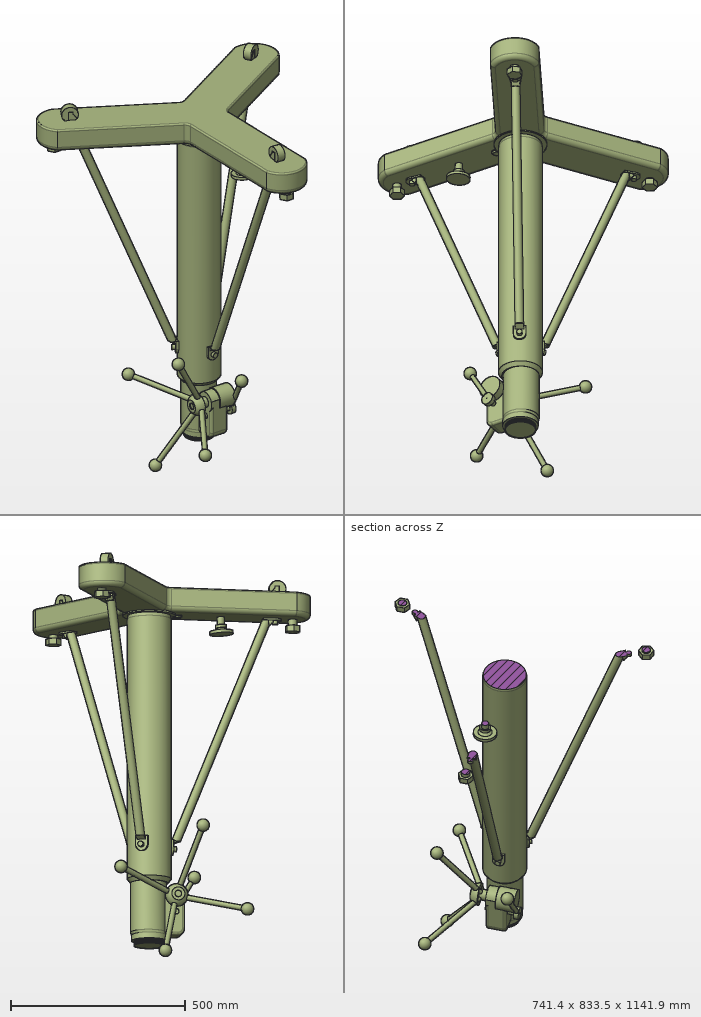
import cadquery as cq
import math

ARM_ANGLES = (0, 120, 240)

arm_half_width = 69.85
arm_end_centre = 397.0
arm_end_radius = 72.95
crotch_fillet = 19.05
plate_thickness = 69.2
top_edge_fillet = 4.76
bottom_edge_fillet = 14.29

caster_reach = 374.5
wheel_diameter = 48.4
wheel_width = 24.0
wheel_centre_height = 17.9
fork_top = 8.0
fork_outer_edge = 4.5
fork_inner_edge = -8.0
fork_slant_top = 3.0
fork_slant_foot = -30.0
fork_recess = 2.0
caster_swivels = (-4, -3, 0)

screw_reach = 419.5
screw_shank_diameter = 25.4
screw_head_flats = 38.1
screw_head_height = 18.0
screw_head_tops = (-87.2, -80.2, -77.2)
screw_head_turns = (30, 45, 30)

foot_reach = 209.5
foot_stem_diameter = 21.34
foot_nut_diameter = 31.75
foot_cone_diameter = 41.0
foot_pad_diameter = 68.0
foot_top = -92.0
foot_nut_height = 9.0
foot_cone_height = 9.0
foot_pad_height = 9.0
foot_tilt = 4.0

flange_radius = 76.2
flange_thickness = 4.0
neck_radius = 62.0
neck_bottom = -83.0
column_radius = 63.5
column_bottom = -842.7
plug_reach = 81.5
plug_diameter = 28.0
plug_height = 6.8
plug_chamfer = 4.0
collar_radius = 54.0
sleeve_radius = 52.0
sleeve_offset = -2.4
sleeve_top = -854.5
sleeve_bottom = -999.0
ring_radius = 51.2
ring_top = -1007.0
ring_bottom = -1023.5
spigot_radius = 44.45
spigot_bottom = -1038.0
spigot_groove_count = 4
spigot_groove_pitch = 3.6
spigot_groove_width = 1.8
spigot_groove_depth = 1.5

strut_diameter = 25.4
strut_top_reach = 344.5
strut_bottom_reach = 78.0
strut_tab_radius = 18.0
strut_tab_thickness = 5.0
strut_cut_overlap = 3.0
top_bolt_reach = 368.0
bottom_bolt_z = -753.0
strut_bottom_z = -730.0
top_gusset_reach = 361.0
top_gusset_edge_z = -80.0
top_gusset_foot = (349.0, -92.0)
bottom_gusset_reach = 86.0
bottom_gusset_z = -738.0
bolt_head_diameter = 15.88
bolt_head_height = 10.5

pinion_x = 69.9
pinion_z = -896.6
housing_end_x = 99.0
housing_half_width = 30.0
housing_bottom = -1008.0
housing_corner_radius = 20.0
housing_edge_fillet = 7.9
housing_top_radius = 31.0
bearing_radius = 34.0
bearing_end_y = 54.5
shaft_radius = 16.0

hub_back_y = -54.0
hub_bulge_y = -69.0
hub_face_y = -79.4
hub_back_radius = 33.0
hub_bulge_radius = 29.5
hub_face_radius = 19.05
hub_recess_diameter = 19.05
hub_recess_depth = 3.0
handle_count = 4
handle_first_angle = 73.4
handle_apex_y = -45.0
handle_ball_y = -167.4
handle_radial_length = 193.0
handle_diameter = 15.88
ball_diameter = 36.5

clamp_x = 72.7
clamp_z = -940.0
clamp_bolt_diameter = 15.88
clamp_bolt_y = -36.0
lever_diameter = 14.29
clamp_knob_diameter = 36.5
clamp_knob_end_y = 65.0
clamp_knob_length = 14.0
lever_ball = (141.0, 47.0, -824.0)


def polar(radius, degrees):
    return (radius * math.cos(math.radians(degrees)), radius * math.sin(math.radians(degrees)))


def turn_about_z(shape, degrees):
    return shape.rotate((0, 0, 0), (0, 0, 1), degrees)


def disc(radius, top, height, x=0.0):
    return cq.Workplane("XY", origin=(x, 0, top - height)).circle(radius).extrude(height)


def disc_along_y(radius, x, z, y_start, y_end):
    return cq.Workplane("XZ", origin=(x, y_start, z)).circle(radius).extrude(y_start - y_end)


def rod(start, end, diameter):
    axis = cq.Vector(*end) - cq.Vector(*start)
    return cq.Workplane(cq.Solid.makeCylinder(diameter / 2, axis.Length, cq.Vector(*start), axis))


def ball_ended_rod(start, ball_centre, diameter):
    along = cq.Vector(*ball_centre) - cq.Vector(*start)
    ball = cq.Solid.makeSphere(ball_diameter / 2, cq.Vector(0, 0, 0), along, -90, 90, 360)
    ball = cq.Workplane(ball).translate(ball_centre)
    return rod(start, ball_centre, diameter).union(ball)


def make_plate():
    arm_straight_end = arm_end_centre + math.sqrt(arm_end_radius**2 - arm_half_width**2)
    arm_corner_radius = math.hypot(arm_straight_end, arm_half_width)
    arm_corner_angle = math.degrees(math.atan2(arm_half_width, arm_straight_end))
    crotch_start = arm_half_width / math.tan(math.radians(60)) + crotch_fillet * math.tan(math.radians(30))
    crotch_start_radius = math.hypot(crotch_start, arm_half_width)
    crotch_start_angle = math.degrees(math.atan2(arm_half_width, crotch_start))
    crotch_middle = (arm_half_width + crotch_fillet) / math.sin(math.radians(60)) - crotch_fillet

    outline = cq.Workplane("XY").moveTo(*polar(crotch_start_radius, -crotch_start_angle))
    for angle in ARM_ANGLES:
        outline = outline.lineTo(*polar(arm_corner_radius, angle - arm_corner_angle))
        outline = outline.threePointArc(
            polar(arm_end_centre + arm_end_radius, angle),
            polar(arm_corner_radius, angle + arm_corner_angle),
        )
        outline = outline.lineTo(*polar(crotch_start_radius, angle + crotch_start_angle))
        outline = outline.threePointArc(
            polar(crotch_middle, angle + 60),
            polar(crotch_start_radius, angle + 120 - crotch_start_angle),
        )
    plate = outline.close().extrude(-plate_thickness)
    plate = plate.faces("<Z").edges().fillet(bottom_edge_fillet)
    return plate.faces(">Z").edges().fillet(top_edge_fillet)


def make_caster():
    half_width = wheel_width / 2
    wheel = disc_along_y(wheel_diameter / 2, 0, wheel_centre_height, half_width, -half_width)
    fork_outline = [
        (fork_inner_edge, fork_top),
        (fork_outer_edge, fork_top),
        (fork_outer_edge, -wheel_diameter / 2),
        (fork_slant_foot, -wheel_diameter / 2),
        (fork_inner_edge, fork_slant_top),
    ]
    fork = (
        cq.Workplane("XZ", origin=(0, half_width, wheel_centre_height))
        .polyline(fork_outline)
        .close()
        .extrude(fork_recess)
    )
    opposite_fork = fork.translate((0, fork_recess - wheel_width, 0))
    return wheel.cut(fork).cut(opposite_fork)


def make_leveling_screw(head_top, head_turn):
    shank_top = -plate_thickness / 2
    shank = disc(screw_shank_diameter / 2, shank_top, shank_top - head_top)
    head_corners = screw_head_flats / math.cos(math.radians(30))
    head = cq.Workplane("XY", origin=(0, 0, head_top)).polygon(6, head_corners).extrude(-screw_head_height)
    return shank.union(turn_about_z(head, head_turn))


def make_foot():
    stem_top = -plate_thickness / 2
    cone_top = foot_top - foot_nut_height
    pad_top = cone_top - foot_cone_height
    stem = disc(foot_stem_diameter / 2, stem_top, stem_top - cone_top)
    pad = disc(foot_nut_diameter / 2, foot_top, foot_nut_height)
    cone = (
        cq.Workplane("XY", origin=(0, 0, cone_top))
        .circle(foot_stem_diameter / 2)
        .workplane(offset=-foot_cone_height)
        .circle(foot_cone_diameter / 2)
        .loft()
    )
    pad = pad.union(cone).union(disc(foot_pad_diameter / 2, pad_top, foot_pad_height))
    pad = pad.rotate((0, 0, foot_top), (0, 1, foot_top), -foot_tilt)
    return stem.union(pad).translate((foot_reach, 0, 0))


def make_column():
    flange_bottom = -plate_thickness - flange_thickness
    profile = [
        (0, -plate_thickness / 2),
        (flange_radius, -plate_thickness / 2),
        (flange_radius, flange_bottom),
        (neck_radius, flange_bottom),
        (column_radius, neck_bottom),
        (column_radius, column_bottom),
        (collar_radius, sleeve_top),
        (spigot_radius, sleeve_top),
        (spigot_radius, ring_top),
        (ring_radius, ring_top),
        (ring_radius, ring_bottom),
        (spigot_radius, ring_bottom),
        (spigot_radius, spigot_bottom),
        (0, spigot_bottom),
    ]
    column = cq.Workplane("XZ").polyline(profile).close().revolve(360, (0, 0), (0, 1))
    sleeve = disc(sleeve_radius, sleeve_top, sleeve_top - sleeve_bottom, sleeve_offset)
    taper = (
        cq.Workplane("XY", origin=(sleeve_offset, 0, sleeve_bottom))
        .circle(sleeve_radius)
        .workplane(offset=ring_top - sleeve_bottom)
        .center(-sleeve_offset, 0)
        .circle(ring_radius)
        .loft()
    )
    column = column.union(sleeve).union(taper)
    for groove_index in range(spigot_groove_count):
        groove_top = ring_bottom - spigot_groove_pitch * groove_index
        groove = (
            cq.Workplane("XY", origin=(0, 0, groove_top - spigot_groove_width))
            .circle(spigot_radius)
            .circle(spigot_radius - spigot_groove_depth)
            .extrude(spigot_groove_width)
        )
        column = column.cut(groove)
    return column


def make_plug():
    plug = disc(plug_diameter / 2, -plate_thickness, plug_height, plug_reach)
    return plug.faces("<Z").edges().chamfer(plug_chamfer)


def make_strut():
    top_z = -plate_thickness - strut_tab_thickness + strut_cut_overlap
    run = strut_top_reach - strut_bottom_reach
    rise = top_z - strut_bottom_z
    extra = strut_diameter / rise
    start = (strut_bottom_reach - run * extra, 0, strut_bottom_z - rise * extra)
    end = (strut_top_reach + run * extra, 0, top_z + rise * extra)
    trim = (
        cq.Workplane("XY", origin=(0, 0, strut_bottom_z))
        .rect(4 * strut_top_reach, 4 * strut_diameter)
        .extrude(rise)
    )
    strut = rod(start, end, strut_diameter).intersect(trim)

    top_tab_length = top_bolt_reach - strut_top_reach + strut_diameter / 2
    top_tab = (
        cq.Workplane("XY", origin=(top_bolt_reach, 0, -plate_thickness))
        .moveTo(0, -strut_tab_radius)
        .threePointArc((strut_tab_radius, 0), (0, strut_tab_radius))
        .lineTo(-top_tab_length, strut_diameter / 2)
        .lineTo(-top_tab_length, -strut_diameter / 2)
        .close()
        .extrude(-strut_tab_thickness)
    )
    top_bolt = disc(bolt_head_diameter / 2, -plate_thickness, strut_tab_thickness + bolt_head_height, top_bolt_reach)

    bottom_tab_height = strut_bottom_z - bottom_bolt_z + strut_cut_overlap
    tab_inset = column_radius / 2
    bottom_tab = (
        cq.Workplane("YZ", origin=(tab_inset, 0, bottom_bolt_z))
        .moveTo(-strut_tab_radius, 0)
        .threePointArc((0, -strut_tab_radius), (strut_tab_radius, 0))
        .lineTo(strut_tab_radius, bottom_tab_height)
        .lineTo(-strut_tab_radius, bottom_tab_height)
        .close()
        .extrude(column_radius + strut_tab_thickness - tab_inset)
    )
    bottom_bolt = (
        cq.Workplane("YZ", origin=(column_radius, 0, bottom_bolt_z))
        .circle(bolt_head_diameter / 2)
        .extrude(strut_tab_thickness + bolt_head_height)
    )
    top_gusset_outline = [
        (strut_top_reach, -plate_thickness),
        (top_gusset_reach, -plate_thickness),
        (top_gusset_reach, top_gusset_edge_z),
        top_gusset_foot,
    ]
    bottom_gusset_outline = [
        (tab_inset, strut_bottom_z),
        (bottom_gusset_reach, strut_bottom_z),
        (column_radius + strut_tab_thickness, bottom_gusset_z),
        (tab_inset, bottom_gusset_z),
    ]
    for outline in (top_gusset_outline, bottom_gusset_outline):
        gusset = cq.Workplane("XZ").polyline(outline).close().extrude(strut_diameter / 2, both=True)
        strut = strut.union(gusset)
    return strut.union(top_tab).union(top_bolt).union(bottom_tab).union(bottom_bolt)


def make_housing():
    block = (
        cq.Workplane("XY", origin=(0, 0, housing_bottom))
        .rect(housing_end_x, 2 * housing_half_width)
        .extrude(pinion_z - housing_bottom)
        .translate((housing_end_x / 2, 0, 0))
    )
    block = block.edges(">X and <Z").fillet(housing_corner_radius)
    block = block.faces(">Y or <Y").edges("not(<X or >Z)").fillet(housing_edge_fillet)
    top = disc_along_y(housing_top_radius, pinion_x, pinion_z, housing_half_width, -housing_half_width)
    within_end = cq.Workplane("XY").box(2 * housing_end_x, 2 * housing_end_x, -4 * pinion_z)
    bearing = disc_along_y(bearing_radius, pinion_x, pinion_z, bearing_end_y, 0)
    shaft = disc_along_y(shaft_radius, pinion_x, pinion_z, 0, hub_back_y)
    return block.union(top.intersect(within_end)).union(bearing).union(shaft)


def make_hub():
    hub = (
        cq.Workplane("XY", origin=(pinion_x, 0, pinion_z))
        .moveTo(0, hub_back_y)
        .lineTo(hub_back_radius, hub_back_y)
        .threePointArc((hub_bulge_radius, hub_bulge_y), (hub_face_radius, hub_face_y))
        .lineTo(0, hub_face_y)
        .close()
        .revolve(360, (0, 0), (0, 1))
    )
    return hub.cut(
        disc_along_y(hub_recess_diameter / 2, pinion_x, pinion_z, hub_face_y + hub_recess_depth, hub_face_y)
    )


def make_handle(angle):
    across, up = polar(handle_radial_length, angle)
    apex = (pinion_x, handle_apex_y, pinion_z)
    ball_centre = (pinion_x + across, handle_ball_y, pinion_z + up)
    return ball_ended_rod(apex, ball_centre, handle_diameter)


def make_clamp():
    bolt = disc_along_y(clamp_bolt_diameter / 2, clamp_x, clamp_z, clamp_knob_end_y, clamp_bolt_y)
    knob_start_y = clamp_knob_end_y - clamp_knob_length
    knob = disc_along_y(clamp_knob_diameter / 2, clamp_x, clamp_z, clamp_knob_end_y, knob_start_y)
    lever_start = (clamp_x, clamp_knob_end_y - clamp_knob_length / 2, clamp_z)
    lever = ball_ended_rod(lever_start, lever_ball, lever_diameter)
    return bolt.union(knob).union(lever)


result = make_plate().union(make_column())
for index, arm_angle in enumerate(ARM_ANGLES):
    caster = turn_about_z(make_caster(), caster_swivels[index])
    screw = make_leveling_screw(screw_head_tops[index], screw_head_turns[index])
    arm_parts = (
        make_strut(),
        caster.translate((caster_reach, 0, 0)),
        screw.translate((screw_reach, 0, 0)),
    )
    for arm_part in arm_parts:
        result = result.union(turn_about_z(arm_part, arm_angle))
result = result.union(make_plug()).union(make_foot()).union(make_housing()).union(make_hub()).union(make_clamp())
for index in range(handle_count):
    result = result.union(make_handle(handle_first_angle + index * 360 / handle_count))